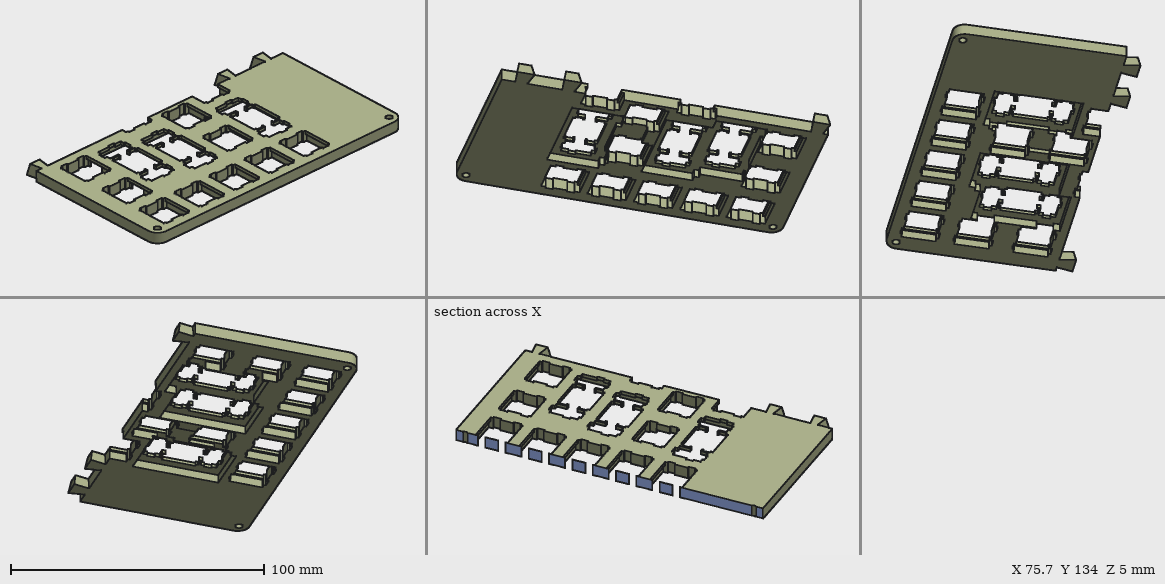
import cadquery as cq

plate_length = 134
thickness = 5.0
corner_radius = 5.0
lip_thickness = 1.5
relief_height = thickness - lip_thickness

key_pitch = 19.0
last_column_margin = 12.2
first_row_margin = 15.5
plate_width = 3 * key_pitch + last_column_margin

switch_size = 14.0
switch_notched_width = 15.5
switch_notch_length = 3.1
switch_middle_length = 5.8
clip_relief = 1.0

stabiliser_offset = 11.9
housing_width = 6.8
housing_front = 6.7
housing_back = 5.5
housing_tongue_width = 3.2
housing_tongue_front = 7.9
housing_tongue_back = 6.3
side_notch_depth = 0.8
side_notch_length = 3.1
side_notch_centre = 1.0
wire_slot_width = 4.5
pocket_length = 35.9
pocket_width = 20.9
housing_relief_front = 12.3

recess_height = 1.9
recess_row = 3
recess_left = 11.3
recess_left_width = 16.8
recess_left_front = -3.5
recess_full_width = 31.2
recess_full_front = 5.9
recess_back = 9.4

hole_diameter = 3.0
hole_margin = 4.0

tab_reach = 6.5
tab_tip_width = 7.2
tab_root_width = 5.0
tab_draft_angle = 10
tab_buried_length = 1.3
tab_centres = [4.5, 106.7, 126.0]

plain_keys = [
    (0, 0), (0, 1.125), (0, 2.375),
    (1, 0),
    (2, 0), (2, 3.25),
    (3, 0), (3, 1.25), (3, 2.5),
    (4, 0), (4, 3),
]
wide_keys = [(1, 1.875), (2, 1.625), (4, 1.5)]


def key_centre(row, pitches_left):
    x = plate_width - last_column_margin - pitches_left * key_pitch
    y = first_row_margin + row * key_pitch
    return x, y


def block(x_size, y_size, centre, top=thickness):
    """Upright rectangular block standing on z = 0."""
    x, y = centre
    return cq.Workplane("XY", origin=(x, y, 0)).rect(x_size, y_size).extrude(top)


def switch_opening(x, y):
    """Square through opening with two notches on its left and right edges."""
    opening = block(switch_size, switch_size, (x, y))
    notch_offset = (switch_middle_length + switch_notch_length) / 2
    for side in (-1, 1):
        notch_centre = (x, y + side * notch_offset)
        opening = opening.union(block(switch_notched_width, switch_notch_length, notch_centre))
    return opening


def plain_key_cut(x, y):
    """Switch opening with a clip undercut beneath its front and back edges."""
    relief = block(switch_size, switch_size + 2 * clip_relief, (x, y), top=relief_height)
    return switch_opening(x, y).union(relief)


def housing_opening(x, y, side):
    """Stabiliser housing; side is -1 for the left one and 1 for the right one."""
    body_centre = (x, y + (housing_back - housing_front) / 2)
    tongue_centre = (x, y + (housing_tongue_back - housing_tongue_front) / 2)
    notch_centre = (x + side * side_notch_depth / 2, y + side_notch_centre)
    body = block(housing_width, housing_front + housing_back, body_centre)
    tongue = block(housing_tongue_width, housing_tongue_front + housing_tongue_back, tongue_centre)
    notch = block(housing_width + side_notch_depth, side_notch_length, notch_centre)
    return body.union(tongue).union(notch)


def wide_key_cut(x, y):
    """Switch opening joined to two stabiliser housings, over one large relief pocket."""
    cut = switch_opening(x, y)
    cut = cut.union(block(2 * stabiliser_offset, wire_slot_width, (x, y)))
    for side in (-1, 1):
        housing_x = x + side * stabiliser_offset
        relief_centre = (housing_x, y - housing_relief_front / 2)
        cut = cut.union(housing_opening(housing_x, y, side))
        cut = cut.union(block(housing_width, housing_relief_front, relief_centre, top=relief_height))
    return cut.union(block(pocket_length, pocket_width, (x, y), top=relief_height))


def underside_recess():
    """L-shaped shallow recess, reaching further to the front on its left side."""
    row_y = first_row_margin + recess_row * key_pitch
    outline = [
        (recess_left, row_y + recess_left_front),
        (recess_left + recess_left_width, row_y + recess_left_front),
        (recess_left + recess_left_width, row_y + recess_full_front),
        (recess_left + recess_full_width, row_y + recess_full_front),
        (recess_left + recess_full_width, row_y + recess_back),
        (recess_left, row_y + recess_back),
    ]
    return cq.Workplane("XY").polyline(outline).close().extrude(recess_height)


def tab(y):
    """Drafted dovetail whose root is buried in the plate."""
    widening = (tab_tip_width - tab_root_width) / tab_reach
    buried_width = tab_root_width - widening * tab_buried_length
    outline = [
        (tab_buried_length, y - buried_width / 2),
        (tab_buried_length, y + buried_width / 2),
        (-tab_reach, y + tab_tip_width / 2),
        (-tab_reach, y - tab_tip_width / 2),
    ]
    sketch = cq.Workplane("XY").polyline(outline).close()
    return sketch.extrude(thickness, taper=tab_draft_angle)


result = block(plate_width, plate_length, (plate_width / 2, plate_length / 2))
result = result.edges("|Z and >X").fillet(corner_radius)

for tab_centre in tab_centres:
    result = result.union(tab(tab_centre))

for key in plain_keys:
    result = result.cut(plain_key_cut(*key_centre(*key)))

for key in wide_keys:
    result = result.cut(wide_key_cut(*key_centre(*key)))

result = result.cut(underside_recess())

for hole_y in (hole_margin, plate_length - hole_margin):
    hole_centre = (plate_width - hole_margin, hole_y)
    screw_hole = cq.Workplane("XY").center(*hole_centre).circle(hole_diameter / 2).extrude(thickness)
    result = result.cut(screw_hole)